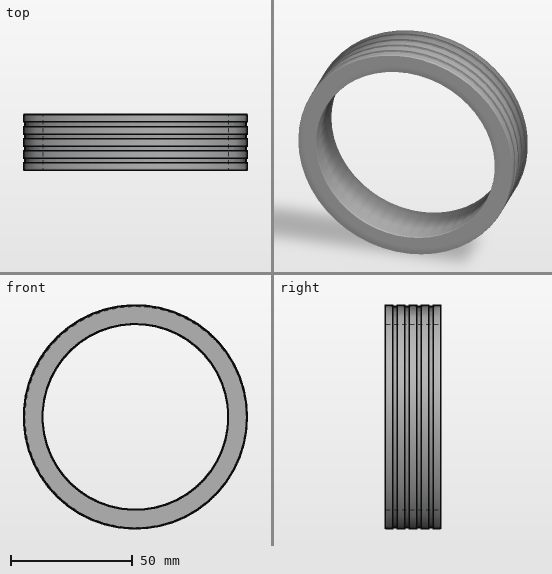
import cadquery as cq

outer_diameter = 92.0
bore_diameter = 76.2
groove_diameter = 91.0
ring_width = 23.0
groove_count = 4
groove_width = 1.9
groove_pitch = 5.0
cutter_clearance = 0.9
chamfer_length = 0.7
chamfer_depth = 0.2

outer_radius = outer_diameter / 2
bore_radius = bore_diameter / 2
groove_radius = groove_diameter / 2
half_width = ring_width / 2
chamfer_start = half_width - chamfer_length


def ring_body():
    """Ring about the Y axis with shallow chamfers on all four rims."""
    profile = [
        (bore_radius, -chamfer_start),
        (bore_radius + chamfer_depth, -half_width),
        (outer_radius - chamfer_depth, -half_width),
        (outer_radius, -chamfer_start),
        (outer_radius, chamfer_start),
        (outer_radius - chamfer_depth, half_width),
        (bore_radius + chamfer_depth, half_width),
        (bore_radius, chamfer_start),
    ]
    return cq.Workplane("XY").polyline(profile).close().revolve(360, (0, 0, 0), (0, 1, 0))


def groove_cutter(center_y):
    """Square-sided annular cutter for one groove in the outer surface."""
    cutter_radius = outer_radius + cutter_clearance
    return (
        cq.Workplane("XZ", origin=(0, center_y + groove_width / 2, 0))
        .circle(cutter_radius)
        .circle(groove_radius)
        .extrude(groove_width)
    )


result = ring_body()
for index in range(groove_count):
    groove_y = (index - (groove_count - 1) / 2) * groove_pitch
    result = result.cut(groove_cutter(groove_y))